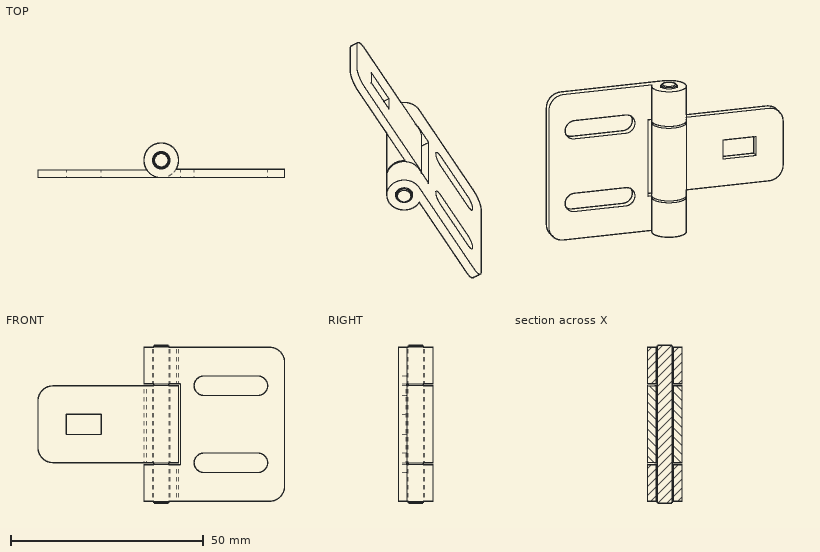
import cadquery as cq

total_length = 64.0

knuckle_diameter = 9.0
bore_diameter = 4.4
pin_diameter = 4.0
pin_length = 41.0
pin_chamfer = 0.25
knuckle_radius = knuckle_diameter / 2
leaf_back_y = -knuckle_radius

wide_height = 40.0
wide_thickness = 2.25
wide_reach = total_length / 2
notch_height = 21.0
notch_reach = 4.9
slot_length = 19.0
slot_width = 5.0
slot_spacing = 20.0
slot_center_x = 18.05

narrow_height = 20.0
narrow_thickness = 2.05
narrow_reach = total_length - wide_reach
window_length = 9.0
window_height = 5.2
window_center_x = -20.1

corner_radius = 4.0


def upright_cylinder(diameter, height):
    """Cylinder on the Z axis, centred on Z = 0."""
    return cq.Workplane("XY").circle(diameter / 2).extrude(height / 2, both=True)


def leaf_blank(reach, height, thickness, side):
    """Plate from the Z axis towards +X (side = 1) or -X (side = -1), with its knuckle."""
    outer_edges = ">X" if side > 0 else "<X"
    plate = (
        cq.Workplane("XY")
        .box(reach, thickness, height)
        .translate((side * reach / 2, leaf_back_y + thickness / 2, 0))
        .faces(outer_edges)
        .edges("|Y")
        .fillet(corner_radius)
    )
    knuckle = upright_cylinder(knuckle_diameter, height)
    bore = upright_cylinder(bore_diameter, height)
    return plate.union(knuckle).cut(bore)


def make_wide_leaf():
    """Leaf with two end knuckles, a notch between them and two mounting slots."""
    notch_length = knuckle_radius + notch_reach
    notch = (
        cq.Workplane("XY")
        .box(notch_length, knuckle_diameter, notch_height)
        .translate((notch_reach - notch_length / 2, 0, 0))
    )
    slots = (
        cq.Workplane("XZ")
        .pushPoints([(slot_center_x, side * slot_spacing / 2) for side in (-1, 1)])
        .slot2D(slot_length, slot_width)
        .extrude(knuckle_radius)
    )
    return leaf_blank(wide_reach, wide_height, wide_thickness, 1).cut(notch).cut(slots)


def make_narrow_leaf():
    """Leaf with one central knuckle and a rectangular window."""
    window = (
        cq.Workplane("XZ")
        .center(window_center_x, 0)
        .rect(window_length, window_height)
        .extrude(knuckle_radius)
    )
    return leaf_blank(narrow_reach, narrow_height, narrow_thickness, -1).cut(window)


def make_pin():
    """Loose-fitting hinge pin with chamfered ends that stand proud of the knuckles."""
    return upright_cylinder(pin_diameter, pin_length).faces("<Z or >Z").chamfer(pin_chamfer)


wide_leaf = make_wide_leaf()
narrow_leaf = make_narrow_leaf()
pin = make_pin()

result = cq.Compound.makeCompound([wide_leaf.val(), narrow_leaf.val(), pin.val()])